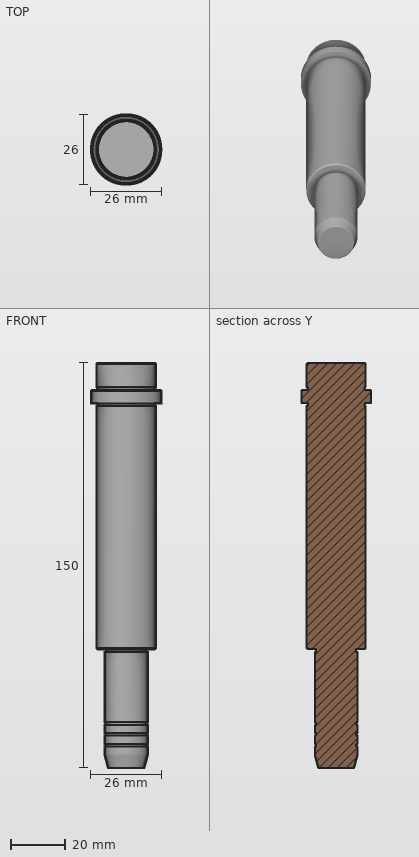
import cadquery as cq
import math

total_length = 150.0
head_length = 10.0
flange_thickness = 5.0
pilot_length = 44.0

flange_radius = 13.0
body_radius = 11.0
pilot_radius = 8.0

edge_chamfer = 0.5

groove_radius = 0.5
groove_width = 2 * groove_radius
groove_count = 3
groove_spacing = 4.0
lowest_groove_bottom = 8.0

pilot_relief_width = 1.0
pilot_relief_depth = 0.5

taper_height = 5.0
taper_angle = 15.0
tip_fillet = 0.5

flange_top = total_length - head_length
flange_bottom = flange_top - flange_thickness
taper_end_radius = pilot_radius - taper_height * math.tan(math.radians(taper_angle))


def cylinder(radius, bottom, top):
    return cq.Workplane("XY").workplane(offset=bottom).circle(radius).extrude(top - bottom)


def round_groove(outer_radius, bottom):
    """Ring-shaped cutter of circular cross-section, for a half-round groove."""
    middle = bottom + groove_radius
    section = cq.Workplane("XZ").moveTo(outer_radius, middle).circle(groove_radius)
    return section.revolve(360, (0, 0), (0, 1))


def make_head():
    return cylinder(body_radius, flange_top, total_length).faces(">Z").chamfer(edge_chamfer)


def make_flange():
    return cylinder(flange_radius, flange_bottom, flange_top).faces(">Z").chamfer(edge_chamfer)


def make_body():
    return cylinder(body_radius, pilot_length, flange_bottom).faces("<Z").chamfer(edge_chamfer)


def make_pilot():
    """Cylindrical shank ending in a cone with a rounded tip edge."""
    profile = (
        cq.Workplane("XZ")
        .lineTo(taper_end_radius, 0)
        .lineTo(pilot_radius, taper_height)
        .lineTo(pilot_radius, pilot_length)
        .lineTo(0, pilot_length)
        .close()
    )
    return profile.revolve(360, (0, 0), (0, 1)).faces("<Z").edges().fillet(tip_fillet)


def cut_flange_reliefs(part):
    """Half-round grooves in the head and the body, right beside both faces of the flange."""
    part = part.cut(round_groove(body_radius, flange_top))
    return part.cut(round_groove(body_radius, flange_bottom - groove_width))


def cut_pilot_relief(part):
    """Square-sided undercut where the pilot meets the body."""
    bottom = pilot_length - pilot_relief_width
    outer = cylinder(pilot_radius, bottom, pilot_length)
    core = cylinder(pilot_radius - pilot_relief_depth, bottom, pilot_length)
    return part.cut(outer.cut(core))


def cut_pilot_grooves(part):
    for index in range(groove_count):
        part = part.cut(round_groove(pilot_radius, lowest_groove_bottom + index * groove_spacing))
    return part


blank = make_pilot().union(make_body()).union(make_flange()).union(make_head())
relieved = cut_pilot_relief(cut_flange_reliefs(blank))
result = cut_pilot_grooves(relieved)